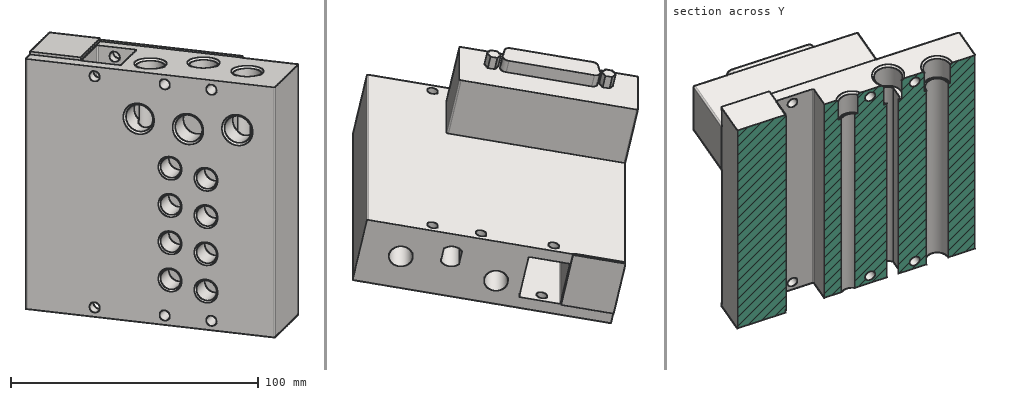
import cadquery as cq
import math

BODY_X = 106.7
BODY_Y = 29.8
BODY_Z = 107.5
BODY_TOP = BODY_Z / 2
BODY_EDGE_RADIUS = 0.5

PLATE_X = 21.7
PLATE_THICKNESS = 1.25
PLATE_Y_START = 5.6
PLATE_Y_END = 30.2
PLATE_CORNER_RADIUS = 0.5

DUCT_X_START = 22.0
DUCT_Y_START = 5.2
DUCT_X = 17.0
DUCT_Y = 19.8
DUCT_CORNER_RADIUS = 0.5

HOUSING_X = 73.9
HOUSING_Y_END = 56.1
HOUSING_Z_START = 20.05
HOUSING_Z_END = 44.7
HOUSING_EDGE_RADIUS = 0.7

CONNECTOR_DEPTH = 5.6
CONNECTOR_X = HOUSING_X / 2
SHELL_Z_START = 31.6
SHELL_Z_END = 41.2
SHELL_HALF_WIDTH = 20.65
SHELL_SIDE_ANGLE = 10.0
SHELL_CORNER_RADIUS = 2.5
POST_SPACING = 47.4
POST_Z = 34.8
POST_ACROSS_CORNERS = 5.7

MOUNT_DIAMETER = 4.4
MOUNT_XS = (29.6, 59.6, 79.6)
MOUNT_EDGE_DISTANCE = 4.1

PORT_DEPTH = 11.0
LARGE_BORE = 11.5
LARGE_MOUTH = 13.2
SMALL_BORE = 8.6
SMALL_MOUTH = 10.0

FRONT_LARGE_PORTS = ((48.5, 33.6), (69.6, 31.6), (90.7, 33.6))

FRONT_SMALL_COLUMNS = ((61.9, 13.9), (77.3, 10.9))
SMALL_PORT_PITCH = 16.0
SMALL_PORTS_PER_COLUMN = 4

GALLERY_DIAMETER = 9.7
OUTER_TOP_PORTS = ((49.7, 11.1), (89.8, 15.1))
MIDDLE_TOP_PORT = (69.7, 19.1)
MIDDLE_GALLERY_WIDTH = 7.5

Y_AXIS = cq.Vector(0, 1, 0)
DOWN = cq.Vector(0, 0, -1)


def box(x_start, x_end, y_start, y_end, z_start, z_end):
    size = (x_end - x_start, y_end - y_start, z_end - z_start)
    return cq.Workplane("XY").box(*size, centered=False).translate((x_start, y_start, z_start))


def port(mouth_center, direction, bore, mouth):
    """Blind bore with a 45 degree chamfer at its mouth."""
    chamfer_depth = (mouth - bore) / 2
    cylinder = cq.Solid.makeCylinder(bore / 2, PORT_DEPTH, mouth_center, direction)
    chamfer = cq.Solid.makeCone(mouth / 2, bore / 2, chamfer_depth, mouth_center, direction)
    return cq.Workplane(cylinder).union(cq.Workplane(chamfer))


def make_body():
    body = box(0, BODY_X, 0, BODY_Y, -BODY_TOP, BODY_TOP)
    return body.edges("|Z").fillet(BODY_EDGE_RADIUS)


def make_end_plates():
    """Top and bottom plates with rounded corners where they overhang the back of the body."""
    plates = cq.Workplane("XY")
    for z_start in (BODY_TOP, -BODY_TOP - PLATE_THICKNESS):
        z_end = z_start + PLATE_THICKNESS
        plate = box(0, PLATE_X, PLATE_Y_START, PLATE_Y_END, z_start, z_end)
        plates = plates.union(plate.faces(">Y").edges("|Z").fillet(PLATE_CORNER_RADIUS))
    return plates


def make_housing():
    housing = box(0, HOUSING_X, BODY_Y, HOUSING_Y_END, HOUSING_Z_START, HOUSING_Z_END)
    return housing.edges("|Y").fillet(HOUSING_EDGE_RADIUS)


def make_shell():
    taper = (SHELL_Z_END - SHELL_Z_START) * math.tan(math.radians(SHELL_SIDE_ANGLE))
    top_half_width = SHELL_HALF_WIDTH - taper
    outline = [
        (CONNECTOR_X - SHELL_HALF_WIDTH, SHELL_Z_START),
        (CONNECTOR_X + SHELL_HALF_WIDTH, SHELL_Z_START),
        (CONNECTOR_X + top_half_width, SHELL_Z_END),
        (CONNECTOR_X - top_half_width, SHELL_Z_END),
    ]
    shell = cq.Workplane("XZ", origin=(0, HOUSING_Y_END, 0)).polyline(outline).close()
    return shell.extrude(-CONNECTOR_DEPTH).edges("|Y").fillet(SHELL_CORNER_RADIUS)


def make_posts():
    centers = [(CONNECTOR_X + side * POST_SPACING / 2, POST_Z) for side in (-1, 1)]
    posts = cq.Workplane("XZ", origin=(0, HOUSING_Y_END, 0)).pushPoints(centers)
    return posts.polygon(6, POST_ACROSS_CORNERS).extrude(-CONNECTOR_DEPTH)


def make_duct():
    x_end = DUCT_X_START + DUCT_X
    y_end = DUCT_Y_START + DUCT_Y
    duct = box(DUCT_X_START, x_end, DUCT_Y_START, y_end, -BODY_TOP, BODY_TOP)
    return duct.edges("|Z").fillet(DUCT_CORNER_RADIUS)


def make_mounting_holes():
    mount_z = BODY_TOP - MOUNT_EDGE_DISTANCE
    centers = [(x, z) for x in MOUNT_XS for z in (-mount_z, mount_z)]
    return cq.Workplane("XZ").pushPoints(centers).circle(MOUNT_DIAMETER / 2).extrude(-BODY_Y)


def make_front_ports():
    ports = cq.Workplane("XY")
    for x, z in FRONT_LARGE_PORTS:
        ports = ports.union(port(cq.Vector(x, 0, z), Y_AXIS, LARGE_BORE, LARGE_MOUTH))
    for x, top_z in FRONT_SMALL_COLUMNS:
        for row in range(SMALL_PORTS_PER_COLUMN):
            z = top_z - row * SMALL_PORT_PITCH
            ports = ports.union(port(cq.Vector(x, 0, z), Y_AXIS, SMALL_BORE, SMALL_MOUTH))
    return ports


def make_gallery(x, y):
    return cq.Workplane("XY").center(x, y).circle(GALLERY_DIAMETER / 2).extrude(BODY_Z, both=True)


def make_top_ports():
    ports = cq.Workplane("XY")
    for x, y in OUTER_TOP_PORTS:
        ports = ports.union(make_gallery(x, y))
    x, y = MIDDLE_TOP_PORT
    flats = cq.Workplane("XY").center(x, y).rect(MIDDLE_GALLERY_WIDTH, LARGE_BORE)
    ports = ports.union(make_gallery(x, y).intersect(flats.extrude(BODY_Z, both=True)))
    for x, y in (*OUTER_TOP_PORTS, MIDDLE_TOP_PORT):
        ports = ports.union(port(cq.Vector(x, y, BODY_TOP), DOWN, LARGE_BORE, LARGE_MOUTH))
    return ports


additions = (make_end_plates(), make_housing(), make_shell(), make_posts())
cuts = (make_duct(), make_mounting_holes(), make_front_ports(), make_top_ports())

result = make_body()
for addition in additions:
    result = result.union(addition)
for cut in cuts:
    result = result.cut(cut)